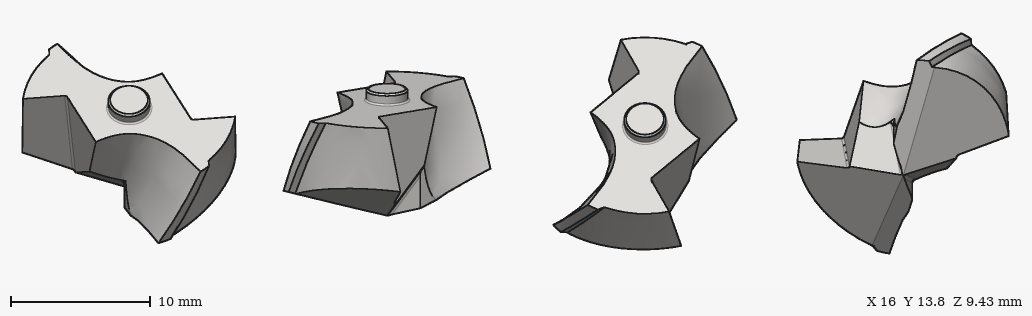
import cadquery as cq
import math

body_depth = 8.6
margin_radius = 8.0
clearance_radius = 7.63
lip_radius = 7.98
helix_angle = 30.0
twist = math.degrees(body_depth * math.tan(math.radians(helix_angle)) / margin_radius)

lip_angle = 14.5
margin_end_angle = 20.4
clearance_start_angle = 23.0

pin_height = 0.83
pin_radius = 1.49
pin_chamfer = 0.15
pin_root_radius = 0.13
pin_overlap = 0.16

relief_wall_y = -3.55
relief_corner_x = -2.96
relief_side_angle = 70.5
relief_side_drift = 0.2
relief_corner_radius = 0.2

flute_points = [(6.64, 1.78), (3.97, 0.8), (2.72, -0.3), (2.18, -1.26), (1.95, -2.32), (1.97, relief_wall_y)]

primary_slopes = (-0.36, -0.12)
secondary_slopes = (-0.36, -0.39)
gash_slopes = (1.05, -0.96)
gash_lip_start = (1.98, -1.31)
gash_lip_drop = 2.4
gash_root_radius = 0.24

gash_wall_run = 8.0
reach = 32.0
tip = (0, 0, -body_depth)


def polar(radius, angle):
    a = math.radians(angle)
    return (radius * math.cos(a), radius * math.sin(a))


def opposite(point):
    return (-point[0], -point[1])


def in_pair(shape):
    """Return the shape together with its half-turn copy about the drill axis."""
    return shape, shape.rotate((0, 0, 0), (0, 0, 1), 180)


def add_half_section(section, flip):
    """Trace one flute and the land after it, clockwise from the cutting lip."""
    place = opposite if flip else (lambda point: point)
    lip = polar(lip_radius, lip_angle)
    heel_x = flute_points[-1][0]
    heel = (heel_x, -math.sqrt(clearance_radius**2 - heel_x**2))
    land_end = 180 + clearance_start_angle
    heel_angle = math.degrees(math.atan2(heel[1], heel[0])) + 360
    land_middle = polar(clearance_radius, (heel_angle + land_end) / 2)
    margin_middle = polar(margin_radius, 180 + (lip_angle + margin_end_angle) / 2)
    return (
        section.spline([place(p) for p in flute_points], includeCurrent=True)
        .lineTo(*place(heel))
        .threePointArc(place(land_middle), place(polar(clearance_radius, land_end)))
        .lineTo(*place(polar(margin_radius, 180 + margin_end_angle)))
        .threePointArc(place(margin_middle), place(opposite(lip)))
    )


def make_body():
    section = cq.Workplane("XY").moveTo(*polar(lip_radius, lip_angle))
    section = add_half_section(section, False)
    section = add_half_section(section, True).close()
    return section.twistExtrude(body_depth, twist).rotate((0, 0, 0), (0, 0, 1), -twist).translate(tip)


def make_relief():
    """Block with one upright wall and one sloping side, shifting in x with depth."""
    side_run = reach / math.tan(math.radians(relief_side_angle))
    shift = relief_side_drift * body_depth
    outline = [
        (relief_corner_x, relief_wall_y),
        (relief_corner_x - side_run, relief_wall_y - reach),
        (reach, relief_wall_y - reach),
        (reach, relief_wall_y),
    ]
    lower = [(x + shift, y) for x, y in outline]
    block = cq.Workplane("XY").polyline(outline).close().workplane(offset=-body_depth)
    block = block.polyline(lower).close().loft(ruled=True)
    corner = (relief_corner_x + shift / 2, relief_wall_y, -body_depth / 2)
    return block.edges(cq.NearestToPointSelector(corner)).fillet(relief_corner_radius)


def below_facet(slopes):
    """Everything under a plane through the tip with the given x and y slopes."""
    facet = cq.Plane(origin=tip, normal=(-slopes[0], -slopes[1], 1))
    return cq.Workplane(facet).rect(2 * reach, 2 * reach).extrude(-reach)


def make_notch(outline):
    """Upright prism kept only below the sloping gash floor."""
    prism = cq.Workplane("XY", origin=(0, 0, -reach)).polyline(outline).close().extrude(2 * reach)
    return prism.intersect(below_facet(gash_slopes))


def make_gash():
    """Web-thinning notch whose rake wall passes through the tip."""
    lip_x, lip_y = gash_lip_start
    wall_end = (gash_wall_run, gash_wall_run * lip_y / lip_x)
    wall_start = opposite(wall_end)
    notch = make_notch([wall_start, wall_end, (wall_end[0], -reach), (wall_start[0], -reach)])
    return notch.edges(cq.NearestToPointSelector(tip)).fillet(gash_root_radius)


def make_lip_trim():
    """Straight lip wall from the outer end of the gash to the flute."""
    lip_x, lip_y = gash_lip_start
    return make_notch([gash_lip_start, (reach, lip_y - gash_lip_drop), (reach, -reach), (lip_x, -reach)])


def make_pin():
    root = pin_root_radius
    arc_offset = root * (1 - math.sqrt(0.5))
    return (
        cq.Workplane("XZ")
        .moveTo(0, -pin_overlap)
        .lineTo(pin_radius + root, -pin_overlap)
        .lineTo(pin_radius + root, 0)
        .threePointArc((pin_radius + arc_offset, arc_offset), (pin_radius, root))
        .lineTo(pin_radius, pin_height - pin_chamfer)
        .lineTo(pin_radius - pin_chamfer, pin_height)
        .lineTo(0, pin_height)
        .close()
        .revolve(360, (0, 0, 0), (0, 1, 0))
    )


result = make_body()
cutters = (
    make_relief(),
    below_facet(primary_slopes),
    below_facet(secondary_slopes),
    make_gash(),
    make_lip_trim(),
)
for cutter in cutters:
    for tool in in_pair(cutter):
        result = result.cut(tool)
result = result.union(make_pin())